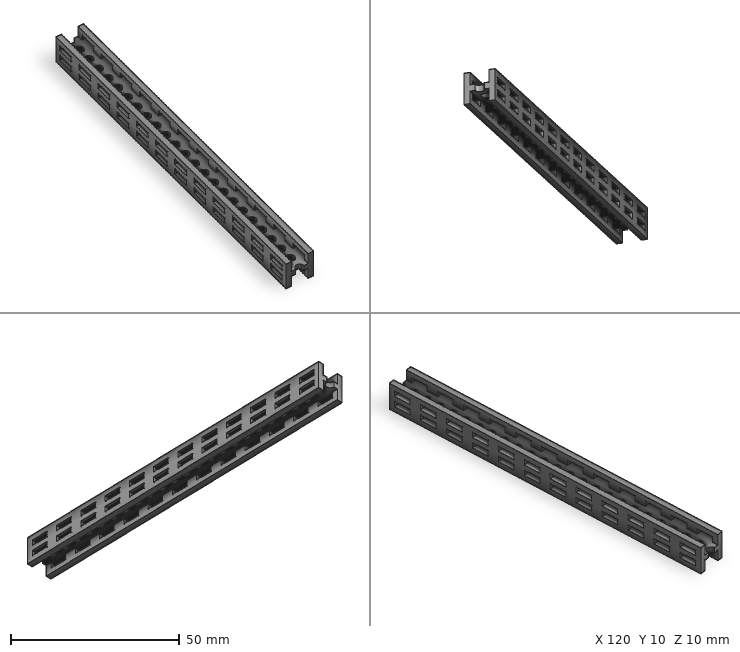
import cadquery as cq

length = 120.0
pitch_count = 24
hole_pitch = length / pitch_count
section_size = 2 * hole_pitch
wall = section_size / 5
half_section = section_size / 2

hole_diameter = 3.0

slot_length = 6.0
slot_height = wall
slot_pitch = 2 * hole_pitch
slot_count = pitch_count // 2
slot_offset = (wall + slot_height) / 2


def make_h_bar():
    """Two upright flanges joined at mid height by a horizontal web."""
    web = cq.Workplane("XY").box(length, section_size, wall)
    flange_centres = [(0, side * (half_section - wall / 2)) for side in (-1, 1)]
    flanges = cq.Workplane("XY").pushPoints(flange_centres).box(length, wall, section_size)
    return web.union(flanges)


def make_web_holes():
    """Vertical cutters at every pitch; the first and last notch the bar ends."""
    hole_centres = [(-length / 2 + i * hole_pitch, 0) for i in range(pitch_count + 1)]
    return (
        cq.Workplane("XY")
        .pushPoints(hole_centres)
        .circle(hole_diameter / 2)
        .extrude(half_section, both=True)
    )


def make_flange_slots():
    """Slot cutters running through both flanges, clear of the web."""
    slot_centres = [
        (-length / 2 + (i + 0.5) * slot_pitch, side * slot_offset)
        for i in range(slot_count)
        for side in (-1, 1)
    ]
    return (
        cq.Workplane("XZ")
        .pushPoints(slot_centres)
        .rect(slot_length, slot_height)
        .extrude(half_section, both=True)
    )


result = make_h_bar().cut(make_web_holes()).cut(make_flange_slots())